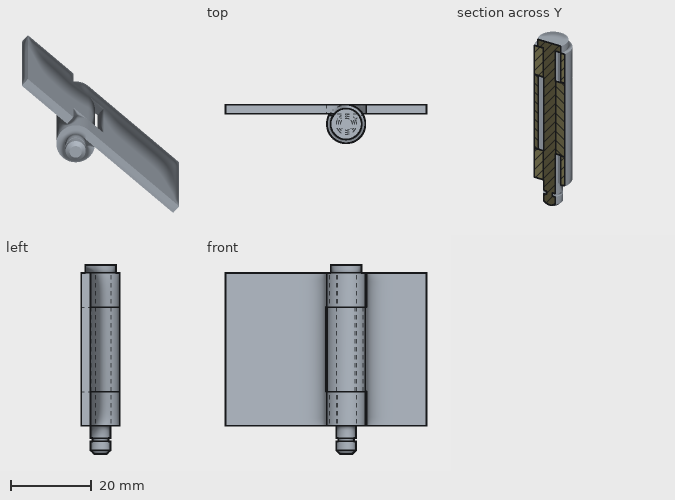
import cadquery as cq
import math

leaf_height = 38.0
wide_leaf_reach = 30.0
narrow_leaf_reach = 20.0

pin_radius = 2.5
knuckle_radius = 4.8
sheet_thickness = knuckle_radius - pin_radius
curl_end_angle = 150.0
knuckle_clearance = 0.2
edge_setback = knuckle_radius + knuckle_clearance

middle_knuckle_height = 21.0
end_knuckle_height = (leaf_height - middle_knuckle_height) / 2
middle_bottom = end_knuckle_height
middle_top = middle_bottom + middle_knuckle_height

head_radius = 3.85
head_height = 2.0
tip_length = 7.0
tip_chamfer = 1.0
groove_radius = 2.0
groove_top = -3.0
groove_width = 0.8


def on_circle(radius, angle):
    """Point on a circle about the hinge axis, angle in degrees from +X."""
    return (radius * math.cos(math.radians(angle)), radius * math.sin(math.radians(angle)))


def curled_leaf(reach):
    """Full-height sheet reaching toward -X, its +X end curled round the pin."""
    half_way_angle = (90.0 + curl_end_angle - 360.0) / 2
    return (
        cq.Workplane("XY")
        .moveTo(-reach, knuckle_radius)
        .lineTo(0, knuckle_radius)
        .threePointArc(on_circle(knuckle_radius, half_way_angle), on_circle(knuckle_radius, curl_end_angle))
        .lineTo(*on_circle(pin_radius, curl_end_angle))
        .threePointArc(on_circle(pin_radius, half_way_angle), (0, pin_radius))
        .lineTo(-reach, pin_radius)
        .close()
        .extrude(leaf_height)
    )


def knuckle_cutout(bottom, top):
    """Block that clears a leaf for the other leaf's knuckle between two heights."""
    width = edge_setback + knuckle_radius
    return (
        cq.Workplane("XY")
        .box(width, 2 * knuckle_radius, top - bottom, centered=(False, True, False))
        .translate((-edge_setback, 0, bottom))
    )


wide_leaf = curled_leaf(wide_leaf_reach).cut(knuckle_cutout(middle_bottom, middle_top))

narrow_leaf = curled_leaf(narrow_leaf_reach)
for bottom, top in [(0, middle_bottom), (middle_top, leaf_height)]:
    narrow_leaf = narrow_leaf.cut(knuckle_cutout(bottom, top))
narrow_leaf = narrow_leaf.mirror("YZ")

groove_bottom = groove_top - groove_width
pin = (
    cq.Workplane("XZ")
    .moveTo(0, leaf_height + head_height)
    .lineTo(head_radius, leaf_height + head_height)
    .lineTo(head_radius, leaf_height)
    .lineTo(pin_radius, leaf_height)
    .lineTo(pin_radius, groove_top)
    .lineTo(groove_radius, groove_top)
    .lineTo(groove_radius, groove_bottom)
    .lineTo(pin_radius, groove_bottom)
    .lineTo(pin_radius, tip_chamfer - tip_length)
    .lineTo(pin_radius - tip_chamfer, -tip_length)
    .lineTo(0, -tip_length)
    .close()
    .revolve(360, (0, 0, 0), (0, 1, 0))
)

result = cq.Compound.makeCompound([wide_leaf.val(), narrow_leaf.val(), pin.val()])